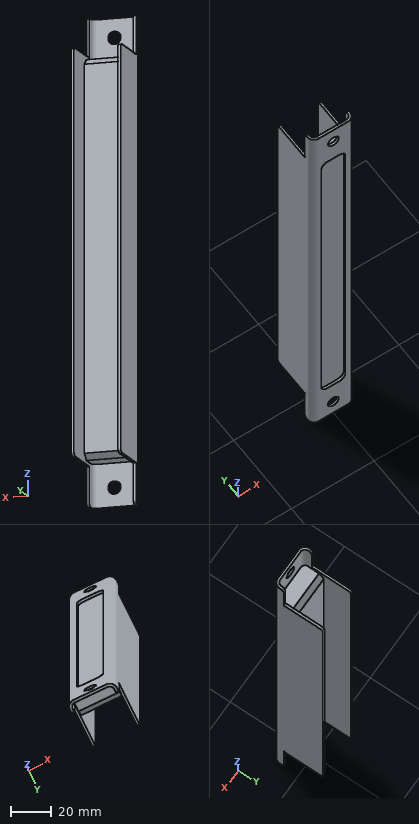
import cadquery as cq

length = 250.0
width = 26.0
depth = 30.0
sheet = 1.5
outer_bend = 4.0
inner_bend = outer_bend - sheet

tab_length = 20.5
tab_depth = 6.2
corner_radius = 2.0

hole_diameter = 6.5
hole_from_end = 10.0

recess_width = 14.5
recess_length = 200.0
recess_radius = 3.8
recess_depth = sheet

insert_back = 13.8
insert_chamfer = 3.0
insert_setback = 2.0

flange_length = length - 2 * tab_length
insert_length = flange_length - 2 * insert_setback
inner_width = width - 2 * sheet


def box_from_front(size_x, front_y, back_y, size_z):
    """Box centred in X and Z that spans the given Y range."""
    return cq.Workplane("XY").box(size_x, back_y - front_y, size_z).translate(
        (0, (front_y + back_y) / 2, 0)
    )


def make_channel():
    outer = box_from_front(width, 0, depth, length).edges("|Z and <Y").fillet(outer_bend)
    inner = box_from_front(inner_width, sheet, depth + sheet, length)
    inner = inner.edges("|Z and <Y").fillet(inner_bend)
    return outer.cut(inner)


def make_side_outline():
    """Stepped side silhouette with rounded free corners, extruded across the width."""
    tabs = box_from_front(width, 0, tab_depth, length)
    tabs = tabs.edges("|X and >Y").fillet(corner_radius)
    flanges = box_from_front(width, 0, depth, flange_length)
    flanges = flanges.edges("|X and >Y").fillet(corner_radius)
    return tabs.union(flanges)


def make_insert():
    insert = box_from_front(inner_width, sheet, insert_back, insert_length)
    insert = insert.edges("|X and >Y").chamfer(insert_chamfer)
    return insert.edges("|Z and <Y").fillet(inner_bend)


def make_recess():
    recess = box_from_front(recess_width, 0, recess_depth, recess_length)
    return recess.edges("|Y").fillet(recess_radius)


def make_holes():
    hole_z = length / 2 - hole_from_end
    return (
        cq.Workplane("XZ")
        .pushPoints([(0, hole_z), (0, -hole_z)])
        .circle(hole_diameter / 2)
        .extrude(-depth)
    )


body = make_channel().intersect(make_side_outline()).union(make_insert())
result = body.cut(make_recess()).cut(make_holes())